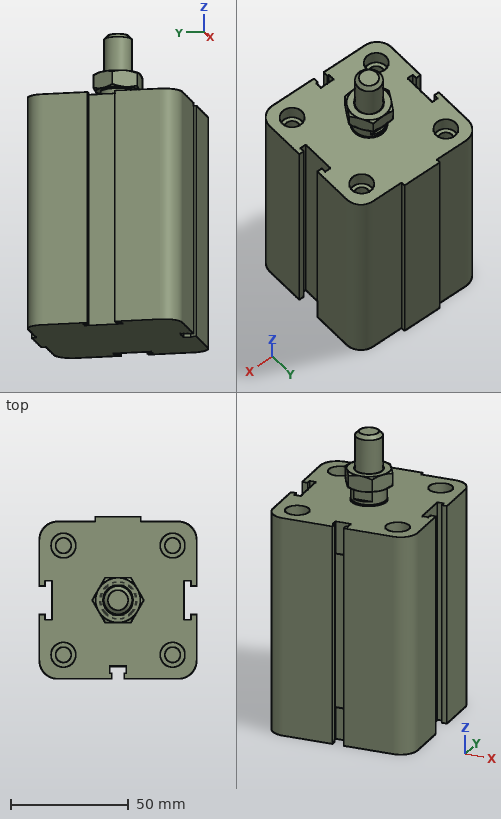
import cadquery as cq
import math

OVERALL_HEIGHT = 132.0
HOUSING_WIDTH = 67.0
HOUSING_HEIGHT = 100.6
CORNER_RADIUS = 7.9

STRIP_WIDTH = 19.5
STRIP_HEIGHT = 2.0

SLOT_LIP = 2.5
SIDE_SLOT_DEPTH = 5.4
SIDE_SLOT_MOUTH = 12.0
SIDE_SLOT_WIDTH = 16.5
FRONT_SLOT_DEPTH = 5.3
FRONT_SLOT_END_DEPTH = 5.7
FRONT_SLOT_MOUTH = 5.3
FRONT_SLOT_WIDTH = 7.0

END_HEIGHT = 14.8

HOLE_SPACING = 46.5
HOLE_BORE = 10.5
HOLE_BORE_DEPTH = 6.6
HOLE_CORE = 6.6
HOLE_CORE_DEPTH = 26.4

RING_DIAMETER = 16.0
RING_HEIGHT = 0.7
RING_TAPER_START = 0.3
COLLAR_DIAMETER = 15.6
COLLAR_CHAMFER = 0.4
FLAT_START = 2.0
FLATS_ACROSS = 13.0
STUD_DIAMETER = 12.0
STUD_CHAMFER = 1.7

NUT_ACROSS_FLATS = 19.0
NUT_BORE_CHAMFER = 0.4
NUT_THICKNESS = 7.1
NUT_SEAT = 7.3
NUT_CHAMFER_ANGLE = 30.0

HALF_WIDTH = HOUSING_WIDTH / 2
ROD_LENGTH = OVERALL_HEIGHT - HOUSING_HEIGHT


def make_t_slot(mouth, width, depth, height=HOUSING_HEIGHT):
    """T-slot cutter in the -Y side, rising from the underside of the housing."""
    neck = cq.Workplane("XY").box(mouth, depth, height, centered=(True, False, False))
    head = (
        cq.Workplane("XY")
        .box(width, depth - SLOT_LIP, height, centered=(True, False, False))
        .translate((0, SLOT_LIP, 0))
    )
    return neck.union(head).translate((0, -HALF_WIDTH, 0))


def make_housing():
    body = (
        cq.Workplane("XY")
        .box(HOUSING_WIDTH, HOUSING_WIDTH, HOUSING_HEIGHT, centered=(True, True, False))
        .edges("|Z")
        .fillet(CORNER_RADIUS)
    )
    strip = cq.Workplane("XY").box(
        STRIP_WIDTH, HALF_WIDTH + STRIP_HEIGHT, HOUSING_HEIGHT, centered=(True, False, False)
    )
    body = body.union(strip)

    front_slot = make_t_slot(FRONT_SLOT_MOUTH, FRONT_SLOT_WIDTH, FRONT_SLOT_DEPTH)
    end_slot = make_t_slot(FRONT_SLOT_MOUTH, FRONT_SLOT_WIDTH, FRONT_SLOT_END_DEPTH, END_HEIGHT)
    side_slot = make_t_slot(SIDE_SLOT_MOUTH, SIDE_SLOT_WIDTH, SIDE_SLOT_DEPTH)
    body = body.cut(front_slot)
    for base_height in (0, HOUSING_HEIGHT - END_HEIGHT):
        body = body.cut(end_slot.translate((0, 0, base_height)))
    for angle in (-90, 90):
        body = body.cut(side_slot.rotate((0, 0, 0), (0, 0, 1), angle))

    return (
        body.faces(">Z")
        .workplane(origin=(0, 0, HOUSING_HEIGHT))
        .rect(HOLE_SPACING, HOLE_SPACING, forConstruction=True)
        .vertices()
        .cboreHole(HOLE_CORE, HOLE_BORE, HOLE_BORE_DEPTH, HOLE_CORE_DEPTH)
    )


def make_rod():
    """Piston rod standing on the top face of the housing."""
    ring = cq.Workplane("XY").circle(RING_DIAMETER / 2).extrude(RING_TAPER_START)
    taper = cq.Workplane(
        cq.Solid.makeCone(RING_DIAMETER / 2, COLLAR_DIAMETER / 2, RING_HEIGHT - RING_TAPER_START)
    ).translate((0, 0, RING_TAPER_START))
    collar = (
        cq.Workplane("XY")
        .circle(COLLAR_DIAMETER / 2)
        .extrude(NUT_SEAT)
        .faces(">Z")
        .chamfer(COLLAR_CHAMFER)
    )
    flats = (
        cq.Workplane("XY")
        .workplane(offset=FLAT_START)
        .rect(COLLAR_DIAMETER, FLATS_ACROSS)
        .extrude(NUT_SEAT - FLAT_START)
    )
    below_flats = cq.Workplane("XY").circle(COLLAR_DIAMETER / 2).extrude(FLAT_START)
    collar = collar.intersect(flats.union(below_flats))
    stud = (
        cq.Workplane("XY")
        .circle(STUD_DIAMETER / 2)
        .extrude(ROD_LENGTH)
        .faces(">Z")
        .chamfer(STUD_CHAMFER)
    )
    return ring.union(taper).union(collar).union(stud).translate((0, 0, HOUSING_HEIGHT))


def make_nut():
    """Hexagon nut with its corners turned to a cone at both ends."""
    across_corners = NUT_ACROSS_FLATS / math.cos(math.pi / 6)
    corner_radius = across_corners / 2
    face_radius = NUT_ACROSS_FLATS / 2
    cone_height = (corner_radius - face_radius) * math.tan(math.radians(NUT_CHAMFER_ANGLE))
    turned_blank = (
        cq.Workplane("XZ")
        .moveTo(0, 0)
        .lineTo(face_radius, 0)
        .lineTo(corner_radius, cone_height)
        .lineTo(corner_radius, NUT_THICKNESS - cone_height)
        .lineTo(face_radius, NUT_THICKNESS)
        .lineTo(0, NUT_THICKNESS)
        .close()
        .revolve(360, (0, 0, 0), (0, 1, 0))
    )
    nut = (
        cq.Workplane("XY")
        .polygon(6, across_corners)
        .circle(STUD_DIAMETER / 2)
        .extrude(NUT_THICKNESS)
        .faces("<Z or >Z")
        .edges("%CIRCLE")
        .chamfer(NUT_BORE_CHAMFER)
        .intersect(turned_blank)
    )
    return nut.translate((0, 0, HOUSING_HEIGHT + NUT_SEAT))


housing = make_housing()
rod = make_rod()
nut = make_nut()

result = cq.Compound.makeCompound([housing.val(), rod.val(), nut.val()])